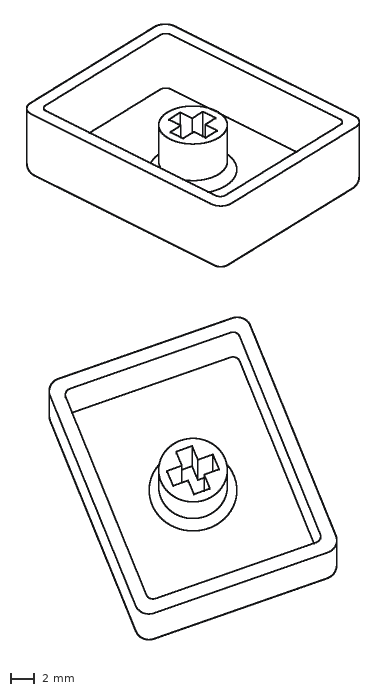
import cadquery as cq
import math

SPAN_X = 22.98
SPAN_Y = 18.27
HEIGHT = 6.7
TILT_DEGREES = 0.62
WALL = 1.2
FLOOR = WALL
CORNER_RADIUS = 1.2
BOTTOM_RADIUS = 1.17
CAVITY_CORNER_RADIUS = 0.6

STEM_DIAMETER = 5.8
STEM_HEIGHT = 4.5
FOOT_DIAMETER = 7.4
FOOT_HEIGHT = (FOOT_DIAMETER - STEM_DIAMETER) / 2
CROSS_LENGTH = 4.15
CROSS_WIDTH = 1.45

cosine = math.cos(math.radians(TILT_DEGREES))
sine = math.sin(math.radians(TILT_DEGREES))
centres_x = SPAN_X - 2 * CORNER_RADIUS
centres_y = SPAN_Y - 2 * CORNER_RADIUS
determinant = cosine**2 - sine**2
LENGTH = (centres_x * cosine - centres_y * sine) / determinant + 2 * CORNER_RADIUS
WIDTH = (centres_y * cosine - centres_x * sine) / determinant + 2 * CORNER_RADIUS


def rounded_block(length, width, height, corner_radius):
    block = cq.Workplane("XY").box(length, width, height, centered=(True, True, False))
    return block.edges("|Z").fillet(corner_radius)


def make_tray():
    shell = rounded_block(LENGTH, WIDTH, HEIGHT, CORNER_RADIUS)
    shell = shell.faces("<Z").edges().fillet(BOTTOM_RADIUS)
    cavity = rounded_block(LENGTH - 2 * WALL, WIDTH - 2 * WALL, HEIGHT - FLOOR, CAVITY_CORNER_RADIUS)
    tray = shell.cut(cavity.translate((0, 0, FLOOR)))
    return tray.rotate((0, 0, 0), (0, 0, 1), -TILT_DEGREES)


def make_stem():
    """Stem standing on the cavity floor, revolved about Z."""
    stem_radius = STEM_DIAMETER / 2
    foot_radius = FOOT_DIAMETER / 2
    stem_top = FLOOR + STEM_HEIGHT
    profile = [
        (0, FLOOR),
        (foot_radius, FLOOR),
        (stem_radius, FLOOR + FOOT_HEIGHT),
        (stem_radius, stem_top),
        (0, stem_top),
    ]
    return cq.Workplane("XZ").polyline(profile).close().revolve(360, (0, 0), (0, 1))


def make_cross_socket():
    """Cross aligned with X and Y, reaching from the stem top to the cavity floor."""
    arms = cq.Workplane("XY", origin=(0, 0, FLOOR)).rect(CROSS_LENGTH, CROSS_WIDTH).extrude(STEM_HEIGHT)
    return arms.union(arms.rotate((0, 0, 0), (0, 0, 1), 90))


result = make_tray().union(make_stem()).cut(make_cross_socket())